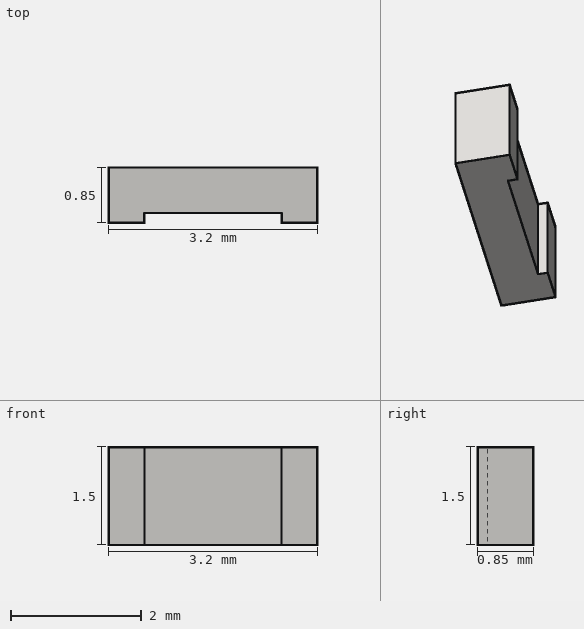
import cadquery as cq

length = 3.2
depth = 0.85
height = 1.5

terminal_width = 0.55
recess_depth = 0.15
recess_length = length - 2 * terminal_width

body = cq.Workplane("XY").box(length, depth, height)

recess = (
    cq.Workplane("XY")
    .box(recess_length, recess_depth, height)
    .translate((0, (recess_depth - depth) / 2, 0))
)

result = body.cut(recess)